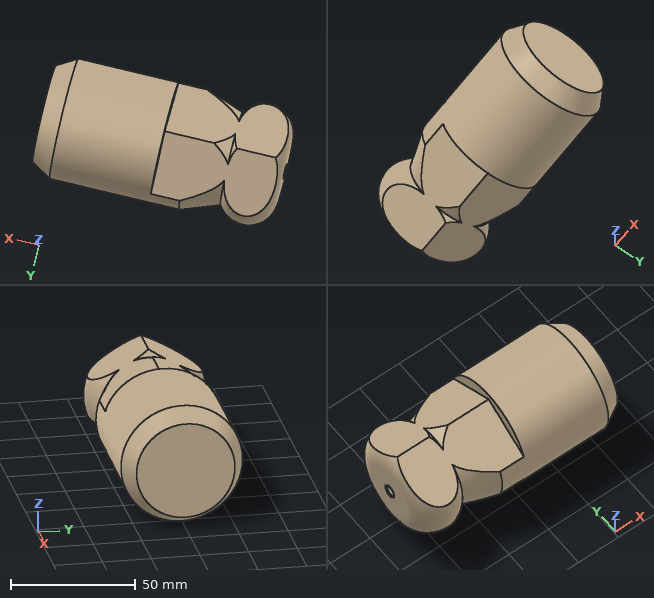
import cadquery as cq
import math

length = 100.0
body_radius = 25.0

nose_radius = 12.0
nose_face_radius = body_radius - nose_radius
neck_x = 22.2
cone_end_x = 38.0

chamfer_depth = 4.8
chamfer_angle = 30.0

flats_end_x = 50.0
across_flats = 38.0
flat_slope = 30.0

hole_radius = 2.5
rim_radius = 3.0
hole_depth = 15.0
drill_point_angle = 118.0


def turned_body():
    """Revolve the half profile around the X axis."""
    neck_radius = nose_face_radius + math.sqrt(nose_radius**2 - (neck_x - nose_radius) ** 2)
    diagonal = nose_radius * math.sqrt(0.5)
    arc_middle = (nose_radius - diagonal, nose_face_radius + diagonal)
    crest = (nose_radius, body_radius)
    fall_angle = math.asin((neck_x - nose_radius) / nose_radius) / 2
    fall_middle = (
        nose_radius + nose_radius * math.sin(fall_angle),
        nose_face_radius + nose_radius * math.cos(fall_angle),
    )
    chamfer_length = chamfer_depth / math.tan(math.radians(chamfer_angle))
    profile = (
        cq.Workplane("XY")
        .lineTo(0, nose_face_radius)
        .threePointArc(arc_middle, crest)
        .threePointArc(fall_middle, (neck_x, neck_radius))
        .lineTo(cone_end_x, body_radius)
        .lineTo(length - chamfer_length, body_radius)
        .lineTo(length, body_radius - chamfer_depth)
        .lineTo(length, 0)
        .close()
    )
    return profile.revolve(360, (0, 0, 0), (1, 0, 0))


def flats_cutter():
    """Sleeve around the nose half whose inside is a diamond prism carrying the four flats."""
    slope = math.radians(flat_slope)
    ridge_height = across_flats / 2 / math.cos(slope)
    side_reach = across_flats / 2 / math.sin(slope)
    diamond = (
        cq.Workplane("YZ")
        .polyline([(0, ridge_height), (side_reach, 0), (0, -ridge_height), (-side_reach, 0)])
        .close()
        .extrude(flats_end_x)
    )
    sleeve = cq.Workplane("YZ").rect(2 * side_reach, 2 * side_reach).extrude(flats_end_x)
    return sleeve.cut(diamond)


def centre_hole():
    """Countersunk drilled hole, revolved around the X axis."""
    countersink_depth = rim_radius - hole_radius
    tip_length = hole_radius / math.tan(math.radians(drill_point_angle / 2))
    return (
        cq.Workplane("XY")
        .lineTo(0, rim_radius)
        .lineTo(countersink_depth, hole_radius)
        .lineTo(hole_depth, hole_radius)
        .lineTo(hole_depth + tip_length, 0)
        .close()
        .revolve(360, (0, 0, 0), (1, 0, 0))
    )


result = turned_body().cut(flats_cutter()).cut(centre_hole())